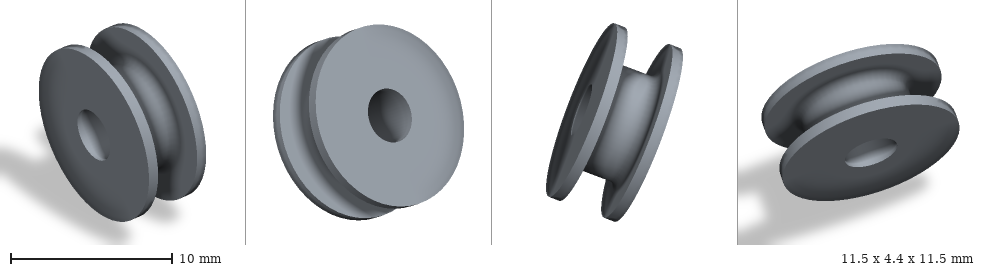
import cadquery as cq

outer_diameter = 11.5
hub_diameter = 7.0
bore_diameter = 3.4
width = 4.4
flange_thickness = 0.7
root_fillet = 0.5

groove_width = width - 2 * flange_thickness


def disc(diameter, length):
    """Solid cylinder along Y, centred on the origin."""
    return cq.Workplane("XZ", origin=(0, length / 2, 0)).circle(diameter / 2).extrude(length)


def groove_cutter():
    """Ring that leaves the hub, with rounded roots where it meets the flanges."""
    rim_clearance = 0.12
    ring = disc(outer_diameter + 2 * rim_clearance, groove_width).cut(disc(hub_diameter, groove_width))
    inner_edges = cq.selectors.RadiusNthSelector(0)
    root_edges = ring.faces("<Y or >Y").edges(inner_edges)
    return root_edges.fillet(root_fillet)


roller = disc(outer_diameter, width)
bore = disc(bore_diameter, width)

result = roller.cut(groove_cutter()).cut(bore)